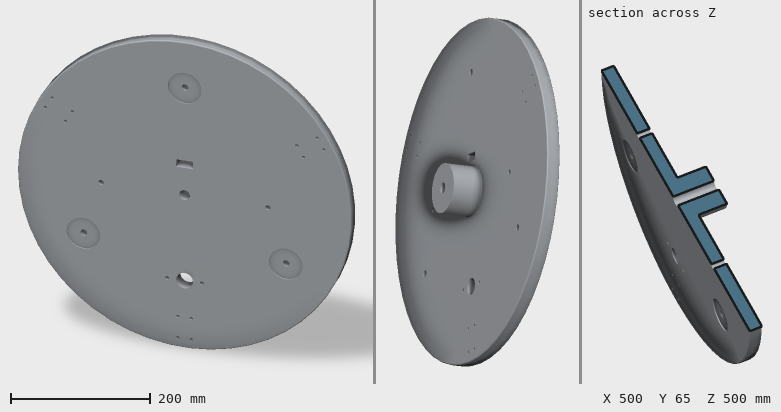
import cadquery as cq

disc_diameter = 500.0
disc_thickness = 20.0
rim_fillet = 2.0

total_depth = 65.0
hub_diameter = 72.0
hub_base_fillet = 2.0
bore_diameter = 16.0

mount_radius = 175.0
recess_diameter = 50.0
recess_depth = 2.0
mount_hole_diameter = 10.0

sector_angles = (0, 120, 240)
group_inner_radius = 200.0
group_outer_radius = 235.0
group_half_width = 10.0
group_hole_diameter = 5.0

side_hole_offset = 125.0
side_hole_diameter = 8.0

opening_drop = 140.0
opening_diameter = 25.0
flank_hole_offset = 26.0
flank_hole_diameter = 6.0

slot_height = 50.5
slot_length = 25.0
slot_width = 12.0


def front_plane(rotation=0):
    """Plane on the front face, local Z into the part, turned about the disc axis."""
    plane = cq.Plane(origin=(0, 0, 0), xDir=(-1, 0, 0), normal=(0, 1, 0))
    return cq.Workplane(plane.rotated((0, 0, rotation)))


def cylinders(points, diameter, depth, rotation=0):
    return front_plane(rotation).pushPoints(points).circle(diameter / 2).extrude(depth)


disc = cylinders([(0, 0)], disc_diameter, disc_thickness).edges().fillet(rim_fillet)
hub = cylinders([(0, 0)], hub_diameter, total_depth)
result = disc.union(hub)

base_corner = hub_diameter / 2 + hub_base_fillet
base_selector = cq.selectors.BoxSelector(
    (-base_corner, disc_thickness - hub_base_fillet, -base_corner),
    (base_corner, disc_thickness + hub_base_fillet, base_corner),
    boundingbox=True,
)
result = result.edges(base_selector).fillet(hub_base_fillet)

result = result.cut(cylinders([(0, 0)], bore_diameter, total_depth))

mount_point = [(0, mount_radius)]
group_points = [
    (x, -radius)
    for x in (-group_half_width, group_half_width)
    for radius in (group_inner_radius, group_outer_radius)
]
for angle in sector_angles:
    result = result.cut(cylinders(mount_point, recess_diameter, recess_depth, angle))
    result = result.cut(cylinders(mount_point, mount_hole_diameter, disc_thickness, angle))
    result = result.cut(cylinders(group_points, group_hole_diameter, disc_thickness, angle))

side_points = [(-side_hole_offset, 0), (side_hole_offset, 0)]
result = result.cut(cylinders(side_points, side_hole_diameter, disc_thickness))

flank_points = [(-flank_hole_offset, -opening_drop), (flank_hole_offset, -opening_drop)]
result = result.cut(cylinders([(0, -opening_drop)], opening_diameter, disc_thickness))
result = result.cut(cylinders(flank_points, flank_hole_diameter, disc_thickness))

slot = front_plane().center(0, slot_height).rect(slot_length, slot_width).extrude(disc_thickness)
result = result.cut(slot)